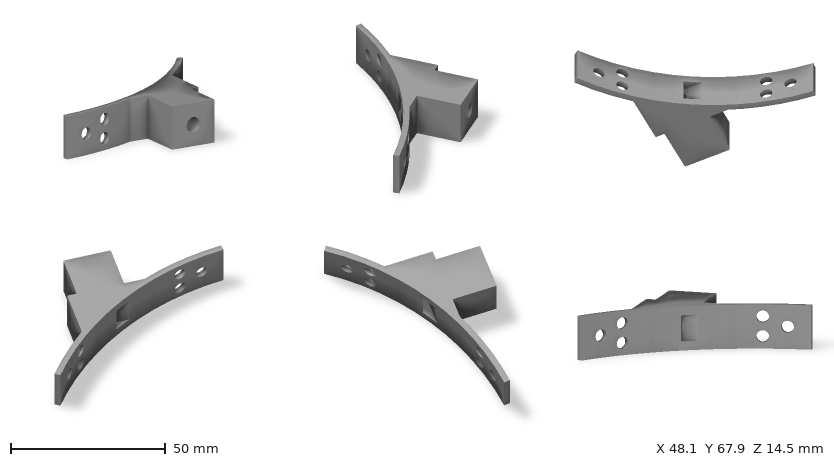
import cadquery as cq
import math

overall_length_x = 48.05
overall_length_y = 67.9
height = 14.5
inner_radius = 92.3
strap_thickness = 2.05
outer_radius = inner_radius + strap_thickness
upper_end_angle = 54.3
lower_end_y = outer_radius * math.sin(math.radians(upper_end_angle)) - overall_length_y
lower_end_angle = math.degrees(math.asin(lower_end_y / inner_radius))
middle_angle = (lower_end_angle + upper_end_angle) / 2

wedge_face_x = 86.8
wedge_face_y = 62.9

block_width = 15.95
block_setback = 3.2
block_top_y = wedge_face_y - block_setback
block_center_y = block_top_y - block_width / 2
block_end_x = inner_radius * math.cos(math.radians(upper_end_angle)) + overall_length_x

slot_width = 3.0
slot_height = 8.75
slot_start_x = 78.4
bolt_hole_diameter = 5.0

strap_hole_diameter = 4.1
pair_angle_offset = 14.6
single_angle_offset = 19.6
pair_half_spacing = 3.25


def polar(radius, angle):
    return (radius * math.cos(math.radians(angle)), radius * math.sin(math.radians(angle)))


def make_strap():
    return (
        cq.Workplane("XY", origin=(0, 0, -height / 2))
        .moveTo(*polar(inner_radius, lower_end_angle))
        .threePointArc(polar(inner_radius, middle_angle), polar(inner_radius, upper_end_angle))
        .lineTo(*polar(outer_radius, upper_end_angle))
        .threePointArc(polar(outer_radius, middle_angle), polar(outer_radius, lower_end_angle))
        .close()
        .extrude(height)
    )


def make_wedge():
    arc_start = (math.sqrt(outer_radius**2 - wedge_face_y**2), wedge_face_y)
    arc_end = (wedge_face_x, math.sqrt(outer_radius**2 - wedge_face_x**2))
    overlap_radius = outer_radius - strap_thickness / 2
    start_angle = math.degrees(math.atan2(arc_start[1], arc_start[0]))
    end_angle = math.degrees(math.atan2(arc_end[1], arc_end[0]))
    return (
        cq.Workplane("XY", origin=(0, 0, -height / 2))
        .moveTo(*arc_start)
        .lineTo(wedge_face_x, wedge_face_y)
        .lineTo(*arc_end)
        .lineTo(*polar(overlap_radius, end_angle))
        .threePointArc(
            polar(overlap_radius, (start_angle + end_angle) / 2),
            polar(overlap_radius, start_angle),
        )
        .close()
        .extrude(height)
    )


def make_block():
    length = block_end_x - wedge_face_x
    return cq.Workplane("XY").box(length, block_width, height).translate(
        (wedge_face_x + length / 2, block_center_y, 0)
    )


def make_nut_slot():
    return (
        cq.Workplane("XY", origin=(slot_start_x, 0, -slot_height / 2))
        .rect(slot_width, block_top_y, centered=False)
        .extrude(slot_height)
    )


def make_bolt_hole():
    start_x = slot_start_x + slot_width / 2
    return (
        cq.Workplane("YZ", origin=(start_x, block_center_y, 0))
        .circle(bolt_hole_diameter / 2)
        .extrude(block_end_x - start_x)
    )


def make_strap_hole(angle, z):
    start = cq.Vector(*polar(inner_radius - strap_thickness, angle), z)
    direction = cq.Vector(*polar(1, angle), 0)
    return cq.Solid.makeCylinder(strap_hole_diameter / 2, 3 * strap_thickness, start, direction)


result = make_strap().union(make_wedge()).union(make_block())
result = result.cut(make_nut_slot()).cut(make_bolt_hole())
for side in (-1, 1):
    result = result.cut(make_strap_hole(middle_angle + side * single_angle_offset, 0))
    for z in (-pair_half_spacing, pair_half_spacing):
        result = result.cut(make_strap_hole(middle_angle + side * pair_angle_offset, z))